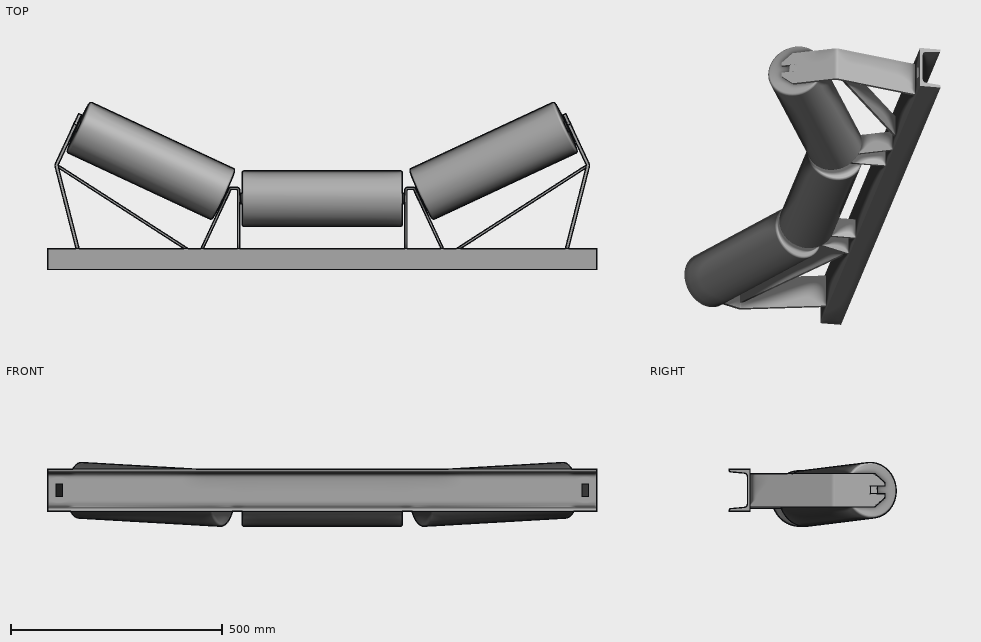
import cadquery as cq
import math


CHANNEL_LENGTH = 1300.0
CHANNEL_HEIGHT = 100.0
CHANNEL_DEPTH = 50.0
WEB = 6.0
FLANGE_TIP = 6.0
FLANGE_ROOT = 10.0
FLANGE_ROOT_RADIUS = 8.0
FLANGE_TIP_RADIUS = 4.0
MOUNT_SLOT_WIDTH = 15.0
MOUNT_SLOT_HEIGHT = 30.0
MOUNT_SLOT_INSET = 27.0

ROLLER_DIAMETER = 133.0
ROLLER_LENGTH = 380.0
ROLLER_EDGE_RADIUS = 5.0
CENTRE_AXIS_Y = 168.0
CENTRE_AXIS_Z = -20.0
WING_MID_X = 405.0
WING_MID_Y = 257.0
WING_MID_Z = -9.8
TROUGH_ANGLE = 25.0
FORWARD_TILT = 3.0

SHAFT_DIAMETER = 26.0
TONGUE = 18.0
ROLLER_GAP = 5.0
SHOULDER_PLAY = 1.0

OUTER_PLATE = 8.0
OUTER_WIDTH = 79.0
OUTER_FOOT_X = 578.0
OUTER_BEND_Y = 247.0
OUTER_TIP_Y = 368.0
OUTER_BEND_RADIUS = 10.0
CORNER_CUT_ALONG = 27.0
CORNER_CUT_ACROSS = 22.0

STRUT_PLATE = 6.0
STRUT_WIDTH = 50.0
STRUT_FOOT_X = 317.0

INNER_PLATE = 6.0
INNER_WIDTH = 48.0
INNER_TOP_Y = 195.0
INNER_BEND_RADIUS = 4.0

FOOT_Y = CHANNEL_DEPTH - WEB / 2
SLOT_REACH = 78.0
plate_offset = ROLLER_LENGTH / 2 + ROLLER_GAP
trough = math.radians(TROUGH_ANGLE)
tilt = math.radians(FORWARD_TILT)


def centre_placement():
    """Frame whose local Z is the axis of the centre roller."""
    return cq.Plane(origin=(0, CENTRE_AXIS_Y, CENTRE_AXIS_Z), xDir=(0, 1, 0), normal=(1, 0, 0))


def wing_placement(side):
    """Frame whose local Z is a wing roller axis pointing outward, local X up along its end plates."""
    outward = (side * math.cos(trough) * math.cos(tilt), math.sin(trough) * math.cos(tilt), math.sin(tilt))
    upward = (-side * math.sin(trough), math.cos(trough), 0)
    return cq.Plane(origin=(side * WING_MID_X, WING_MID_Y, WING_MID_Z), xDir=upward, normal=outward)


def make_rod(placement, diameter, length):
    """Cylinder along local Z, centred on the placement's origin."""
    return cq.Workplane(placement).workplane(offset=-length / 2).circle(diameter / 2).extrude(length)


def make_roller(placement):
    roller = make_rod(placement, ROLLER_DIAMETER, ROLLER_LENGTH).edges().fillet(ROLLER_EDGE_RADIUS)
    return roller.cut(make_rod(placement, SHAFT_DIAMETER, ROLLER_LENGTH)).val()


def make_shaft(placement, near_plate, far_plate):
    """Round shaft with square tongues that end flush with the outside of the plates at both ends."""
    tongue_start = -plate_offset - near_plate
    tongue_length = near_plate + 2 * plate_offset + far_plate
    tongues = cq.Workplane(placement).workplane(offset=tongue_start).rect(TONGUE, TONGUE).extrude(tongue_length)
    round_length = 2 * (plate_offset - SHOULDER_PLAY)
    return make_rod(placement, SHAFT_DIAMETER, round_length).union(tongues).val()


def make_slot(placement, end):
    """Cutter for the open-topped slot that seats a shaft tongue in the plate at one end (-1 or 1)."""
    return (cq.Workplane(placement)
            .workplane(offset=end * plate_offset)
            .center((SLOT_REACH - TONGUE) / 2, 0)
            .rect(SLOT_REACH, TONGUE)
            .extrude(2 * OUTER_PLATE, both=True))


def make_channel():
    """Channel with tapered flanges that open towards -Y, and a mounting slot near each end of its web."""
    half = CHANNEL_HEIGHT / 2
    web_face = CHANNEL_DEPTH - WEB
    tip_corners = [(0, half - FLANGE_TIP), (0, FLANGE_TIP - half)]
    root_corners = [(web_face, half - FLANGE_ROOT), (web_face, FLANGE_ROOT - half)]
    outline = [(CHANNEL_DEPTH, -half), (CHANNEL_DEPTH, half), (0, half), tip_corners[0],
               root_corners[0], root_corners[1], tip_corners[1], (0, -half)]
    channel = (cq.Workplane("YZ").workplane(offset=-CHANNEL_LENGTH / 2)
               .polyline(outline).close().extrude(CHANNEL_LENGTH))
    for corners, radius in ((root_corners, FLANGE_ROOT_RADIUS), (tip_corners, FLANGE_TIP_RADIUS)):
        for y, z in corners:
            channel = channel.edges(cq.selectors.NearestToPointSelector((0, y, z))).fillet(radius)
    slot_x = CHANNEL_LENGTH / 2 - MOUNT_SLOT_INSET
    slots = (cq.Workplane("XZ").pushPoints([(-slot_x, 0), (slot_x, 0)])
             .rect(MOUNT_SLOT_WIDTH, MOUNT_SLOT_HEIGHT).extrude(-CHANNEL_DEPTH))
    return channel.cut(slots)


def end_plate_point(side, end, plate, y):
    """XY point at height y on the middle of the plate at one end (-1 inner, 1 outer) of a wing roller."""
    along = end * (plate_offset + plate / 2) * math.cos(tilt)
    axis_x = WING_MID_X + along * math.cos(trough)
    axis_y = WING_MID_Y + along * math.sin(trough)
    return (side * (axis_x - (y - axis_y) * math.tan(trough)), y)


def make_strip(path, plate, width, bend_radius):
    """Flat bar bent along a path of XY points that follows the middle of its thickness."""
    middle = cq.Workplane("XY").polyline(path).wire().val()
    middle = middle.fillet(bend_radius, middle.Vertices()[1:-1])
    start = cq.Vector(*path[0])
    section = cq.Plane(origin=start, xDir=(0, 0, 1), normal=cq.Vector(*path[1]) - start)
    return cq.Workplane(section).rect(width, plate).sweep(cq.Workplane(middle))


def make_outer_bracket(side):
    """Flat bar that rises outward, bends, and ends in a chamfered tip facing the wing roller."""
    foot = (side * OUTER_FOOT_X, FOOT_Y)
    bend = end_plate_point(side, 1, OUTER_PLATE, OUTER_BEND_Y)
    tip = end_plate_point(side, 1, OUTER_PLATE, OUTER_TIP_Y)
    bracket = make_strip([foot, bend, tip], OUTER_PLATE, OUTER_WIDTH, OUTER_BEND_RADIUS)
    upward = (-side * math.sin(trough), math.cos(trough), 0)
    outward = (side * math.cos(trough), math.sin(trough), 0)
    tip_plane = cq.Plane(origin=(*tip, 0), xDir=upward, normal=outward)
    half = OUTER_WIDTH / 2
    for edge in (-1, 1):
        corner = [(0, edge * half), (-CORNER_CUT_ALONG, edge * half), (0, edge * (half - CORNER_CUT_ACROSS))]
        bracket = bracket.cut(cq.Workplane(tip_plane).polyline(corner).close().extrude(OUTER_PLATE, both=True))
    return bracket


def make_strut(side):
    """Straight flat bar from the channel up to the outer bracket's bend."""
    foot = cq.Vector(side * STRUT_FOOT_X, FOOT_Y)
    top = cq.Vector(*end_plate_point(side, 1, OUTER_PLATE, OUTER_BEND_Y))
    along = top - foot
    section = cq.Plane(origin=foot, xDir=(0, 0, 1), normal=along)
    return cq.Workplane(section).rect(STRUT_WIDTH, STRUT_PLATE).extrude(along.Length)


def make_inner_bracket(side):
    """Flat bar folded into an upright for the centre roller and a sloping leg for a wing roller."""
    upright_x = side * (plate_offset + INNER_PLATE / 2)
    top_y = INNER_TOP_Y - INNER_PLATE / 2
    path = [(upright_x, FOOT_Y),
            (upright_x, top_y),
            end_plate_point(side, -1, INNER_PLATE, top_y),
            end_plate_point(side, -1, INNER_PLATE, FOOT_Y)]
    return make_strip(path, INNER_PLATE, INNER_WIDTH, INNER_BEND_RADIUS).translate((0, 0, CENTRE_AXIS_Z))


def make_frame():
    frame = make_channel()
    for side in (-1, 1):
        for part in (make_outer_bracket(side), make_strut(side), make_inner_bracket(side)):
            frame = frame.union(part)
        wing = wing_placement(side)
        for placement, end in ((wing, -1), (wing, 1), (centre_placement(), side)):
            frame = frame.cut(make_slot(placement, end))
    return frame.val()


frame = make_frame()

centre = centre_placement()
wings = [wing_placement(side) for side in (-1, 1)]
rollers = [make_roller(placement) for placement in (centre, *wings)]
shafts = [make_shaft(centre, INNER_PLATE, INNER_PLATE)]
shafts += [make_shaft(wing, INNER_PLATE, OUTER_PLATE) for wing in wings]

result = cq.Compound.makeCompound([frame, *rollers, *shafts])